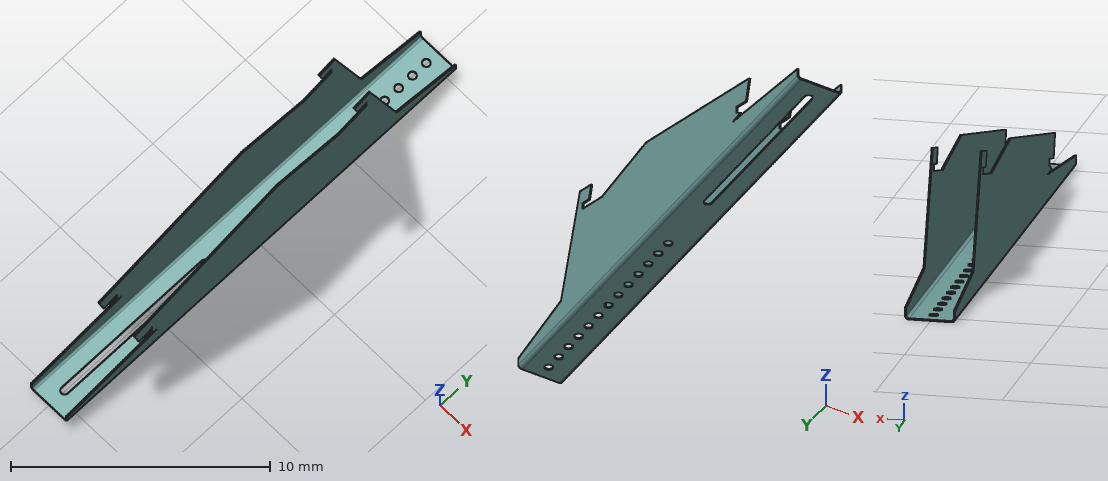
import cadquery as cq

length = 21.0
width = 2.0
height = 5.52
thickness = 0.06
bend_radius = 0.17

hole_count = 13
hole_diameter = 0.34
hole_row_length = 8.99
hole_pitch = hole_row_length / (hole_count - 1)
hole_end_margin = 0.63

slot_width = 0.34
slot_length = 7.9
slot_end_margin = 0.67

end_height = 0.46
half_length = length / 2

rear_ramp = [(half_length, end_height), (7.29, 1.11)]
upper_hook = [
    (5.85, height),
    (5.02, 5.3),
    (5.19, 4.68),
    (5.67, 4.8),
    (5.67, 4.54),
]
top_edge = [(4.2, 4.14), (0.88, 4.55), (-6.87, 2.45)]
lower_hook = [(-6.62, 1.51), (-5.9, 1.7), (-5.9, 1.43)]
lip = [(-6.24, 1.2), (-5.67, 1.15)]
front_ramp = [(-half_length, end_height)]


def channel():
    """U-shaped sheet with rounded outer and inner bends."""
    outer = (
        cq.Workplane("XY")
        .box(width, length, height, centered=(True, True, False))
        .edges("|Y and <Z")
        .fillet(bend_radius)
    )
    inner = (
        cq.Workplane("XY")
        .workplane(offset=thickness)
        .box(width - 2 * thickness, length, height, centered=(True, True, False))
        .edges("|Y and <Z")
        .fillet(bend_radius - thickness)
    )
    return outer.cut(inner)


def wall_outline():
    """Solid across the full width, bounded by the side profile of the walls."""
    edge = rear_ramp + upper_hook + top_edge + lower_hook + lip + front_ramp
    base = [(-half_length, 0), (half_length, 0)]
    return cq.Workplane("YZ").polyline(edge + base).close().extrude(width / 2, both=True)


def base_holes():
    first_y = half_length - hole_end_margin
    centers = [(0, first_y - i * hole_pitch) for i in range(hole_count)]
    return cq.Workplane("XY").pushPoints(centers).circle(hole_diameter / 2).extrude(height)


def base_slot():
    center_y = -half_length + slot_end_margin + slot_length / 2
    return (
        cq.Workplane("XY")
        .center(0, center_y)
        .slot2D(slot_length, slot_width, 90)
        .extrude(height)
    )


result = channel().intersect(wall_outline()).cut(base_holes()).cut(base_slot())